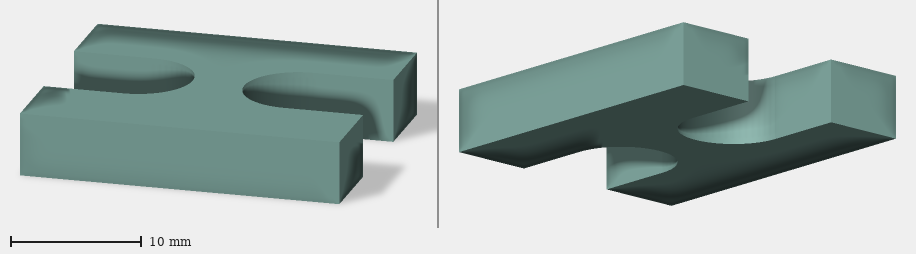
import cadquery as cq

length = 25.4
width = 22.1
thickness = 5.0

slot_width = 8.6
web_width = 4.11

slot_depth = (length - web_width) / 2


def end_slot(side):
    """Slot open at one X end; side is -1 or +1."""
    return (
        cq.Workplane("XY")
        .center(side * length / 2, 0)
        .slot2D(2 * slot_depth, slot_width)
        .extrude(thickness)
    )


result = cq.Workplane("XY").box(length, width, thickness, centered=(True, True, False))
for side in (-1, 1):
    result = result.cut(end_slot(side))